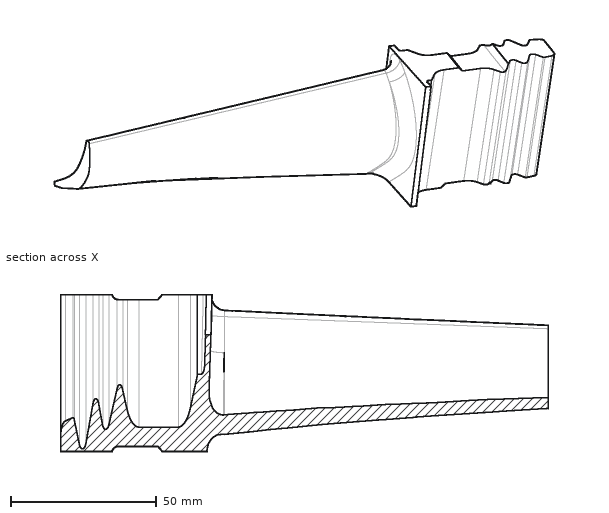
import cadquery as cq
import math


total_width = 55.84
total_depth = 167.89
length = 54.0
lean_angle = 20.0
lean = length * math.tan(math.radians(lean_angle))
platform_half_width = (total_width - lean) / 2

top_radius = 1.9
tooth_radius = 1.2
shank_half_width = 6.5
shank_radius = 4.8
step_half_width = 13.15
step_depth = 47.1
root_end_depth = 49.2
root_corners = [
    (7.0, 0.0, top_radius),
    (7.75, 4.6, 0.5),
    (2.4, 7.65, tooth_radius),
    (11.6, 12.15, tooth_radius),
    (4.95, 15.4, tooth_radius),
    (12.9, 20.4, tooth_radius),
    (shank_half_width, 24.3, shank_radius),
    (shank_half_width, 43.2, shank_radius),
    (step_half_width, step_depth, 0.0),
    (step_half_width, root_end_depth, 0.0),
]

relief_start = 17.8
relief_end = 35.0
relief_deep = 1.7
relief_radius = 2.0
relief_chamfer = 1.5

platform_thickness = 2.0
platform_face_depth = 50.92
cross_tilt = 2.0
end_rise = 1.2
step_fillet = 1.0
shoulder_height = 1.2

blade_root_depth = 56.3
middle_bow = -0.9
root_pressure = [(-3.3, 19.5), (-3.4, 12.5), (-4.2, 5.5), (-6.2, -2.3),
                 (-9.8, -9.9), (-15.2, -16.5), (-22.7, -23.4)]
root_suction = [(-21.2, -26.4), (-11.4, -20.0), (-3.2, -14.6), (6.5, -6.8),
                (10.6, -0.3), (11.6, 7.5), (8.5, 15.2), (0.8, 21.4)]
tip_pressure = [(9.5, 15.3), (7.3, 10.8), (3.8, 5.7), (-0.6, 0.6),
                (-7.3, -4.75), (-16.2, -10.0), (-24.9, -14.7)]
tip_suction = [(-24.5, -16.2), (-16.2, -13.5), (-6.0, -9.2), (2.5, -5.4),
               (8.4, -0.3), (12.0, 4.1), (13.4, 11.4), (12.7, 16.0)]

blade_fillet = 4.8
foot_start_depth = 48.0
foot_base_depth = 40.0
face_tolerance = 0.01


def rounded_outline(corners, plane_z):
    """Closed wire in a plane of constant Z through (x, y, radius) corners."""
    pieces = []
    count = len(corners)
    for i in range(count):
        x, y, radius = corners[i]
        corner = cq.Vector(x, y, plane_z)
        before = cq.Vector(*corners[i - 1][:2], plane_z)
        after = cq.Vector(*corners[(i + 1) % count][:2], plane_z)
        to_before = (before - corner).normalized()
        to_after = (after - corner).normalized()
        half = to_before.getAngle(to_after) / 2
        setback = radius / math.tan(half)
        middle_gap = radius / math.sin(half) - radius
        bisector = (to_before + to_after).normalized()
        pieces.append((
            corner + to_before * setback,
            corner + bisector * middle_gap,
            corner + to_after * setback,
            radius,
        ))
    edges = []
    for i in range(count):
        start, middle, end, radius = pieces[i]
        if radius > 0:
            edges.append(cq.Edge.makeThreePointArc(start, middle, end))
        edges.append(cq.Edge.makeLine(end, pieces[(i + 1) % count][0]))
    return cq.Wire.assembleEdges(edges)


def lean_prism(corners, rise=0.0, span=length):
    """Extrude an outline along Z over a span, leaning toward +X and sinking by rise per length."""
    lean_x = lean * span / length
    sink = rise * span / length
    start = [(x - lean_x / 2, y + sink / 2, radius) for x, y, radius in corners]
    wire = rounded_outline(start, -span / 2)
    return cq.Workplane(cq.Solid.extrudeLinear(wire, [], cq.Vector(lean_x, -sink, span)))


def make_root():
    right = [(w, -d, r) for w, d, r in root_corners]
    left = [(-x, y, r) for x, y, r in reversed(right)]
    root = lean_prism(right + left)
    for side in (1, -1):
        root = root.cut(make_relief(side))
    return root


def make_relief(side):
    """Cutter across one end: rounded toward the teeth, sloped toward the platform."""
    face = length / 2
    floor = face - relief_deep
    rim_reach = math.sqrt(relief_radius**2 - (relief_radius - relief_deep) ** 2)
    turn = math.acos((relief_radius - relief_deep) / relief_radius) / 2
    centre_y = -relief_start - rim_reach
    arc_middle = (centre_y + relief_radius * math.sin(turn),
                  floor + relief_radius * (1 - math.cos(turn)))
    cutter = (
        cq.Workplane("YZ", origin=(-total_width / 2, 0, 0))
        .moveTo(-relief_start, face)
        .threePointArc(arc_middle, (centre_y, floor))
        .lineTo(-relief_end + relief_chamfer, floor)
        .lineTo(-relief_end, face)
        .close()
        .extrude(total_width)
    )
    return cutter if side > 0 else cutter.mirror("XY")


def platform_face_y(u):
    """Airfoil-side face at mid length, u across from the lean axis."""
    return -platform_face_depth + u * math.tan(math.radians(cross_tilt))


def platform_back_y(u):
    return platform_face_y(u) + platform_thickness


def make_platform():
    """Tilted plate with filleted shoulders against the step of the root."""
    right = platform_half_width
    left = -platform_half_width
    step_right = step_half_width
    step_left = -step_half_width
    return lean_prism([
        (left, platform_face_y(left), 0),
        (right, platform_face_y(right), 0),
        (right, platform_back_y(right), 0),
        (step_right, platform_back_y(step_right), step_fillet),
        (step_right, platform_back_y(step_right) + shoulder_height, 0),
        (step_left, platform_back_y(step_left) + shoulder_height, 0),
        (step_left, platform_back_y(step_left), step_fillet),
        (left, platform_back_y(left), 0),
    ], end_rise)


def between(start, end, t):
    return start + (end - start) * t


def airfoil_side(root_points, tip_points, t, depth, bows):
    """Spline along one side of the airfoil, with a sideways shift for each point."""
    return cq.Edge.makeSpline([
        cq.Vector(between(x_root, x_tip, t) + bow, -depth, between(z_root, z_tip, t))
        for (x_root, z_root), (x_tip, z_tip), bow in zip(root_points, tip_points, bows)
    ])


def bows_from_leading(count, t):
    """Shifts growing from none at the leading edge to the full bow at the trailing edge."""
    full = middle_bow * 4 * t * (1 - t)
    return [full * i / (count - 1) for i in range(count)]


def smooth_join(first, second):
    """Edge from the end of one curve to the start of the next, tangent to both."""
    return cq.Edge.makeSpline(
        [first.endPoint(), second.startPoint()],
        tangents=[first.tangentAt(1), second.tangentAt(0)],
    )


def blade_section(t, depth):
    """Closed airfoil at a depth; t runs from 0 at the root section to 1 at the tip."""
    pressure_bows = bows_from_leading(len(root_pressure), t)
    suction_bows = reversed(bows_from_leading(len(root_suction), t))
    pressure = airfoil_side(root_pressure, tip_pressure, t, depth, pressure_bows)
    suction = airfoil_side(root_suction, tip_suction, t, depth, suction_bows)
    return cq.Wire.assembleEdges([
        pressure,
        smooth_join(pressure, suction),
        suction,
        smooth_join(suction, pressure),
    ])


def make_blade():
    middle_depth = (blade_root_depth + total_depth) / 2
    return cq.Workplane(cq.Solid.makeLoft([
        blade_section(0, blade_root_depth),
        blade_section(0.5, middle_depth),
        blade_section(1, total_depth),
    ]))


def make_foot_base():
    """Oversized block with the tilted platform face, wide enough for the whole fillet."""
    reach = 2 * platform_half_width
    back = -foot_base_depth
    return lean_prism([
        (-reach, platform_face_y(-reach), 0),
        (reach, platform_face_y(reach), 0),
        (reach, back, 0),
        (-reach, back, 0),
    ], end_rise, 2 * length)


def on_platform_face(edge):
    """True for an edge in the plane of the tilted platform face."""
    centre = edge.Center()
    z_part = centre.z / length
    face_y = platform_face_y(centre.x - lean * z_part) - end_rise * z_part
    return abs(centre.y - face_y) < face_tolerance


def make_foot():
    """Fillet stub from platform to airfoil, trimmed to the sides of the platform."""
    section = blade_section(0, blade_root_depth)
    stub_length = blade_root_depth - foot_start_depth
    stub = cq.Workplane(cq.Solid.extrudeLinear(section, [], cq.Vector(0, stub_length, 0)))
    joined = make_foot_base().union(stub).solids().val()
    reach = section.BoundingBox()
    seam = [
        edge for edge in joined.Edges()
        if on_platform_face(edge) and reach.xmin < edge.Center().x < reach.xmax
        and reach.zmin < edge.Center().z < reach.zmax
    ]
    filleted = cq.Workplane(joined.fillet(blade_fillet, seam))
    left = -platform_half_width
    right = platform_half_width
    inside = platform_thickness / 2
    trim = lean_prism([
        (left, -total_depth, 0),
        (right, -total_depth, 0),
        (right, platform_face_y(right) + inside, 0),
        (left, platform_face_y(left) + inside, 0),
    ], end_rise)
    return filleted.intersect(trim)


result = make_root().union(make_platform()).union(make_foot()).union(make_blade())